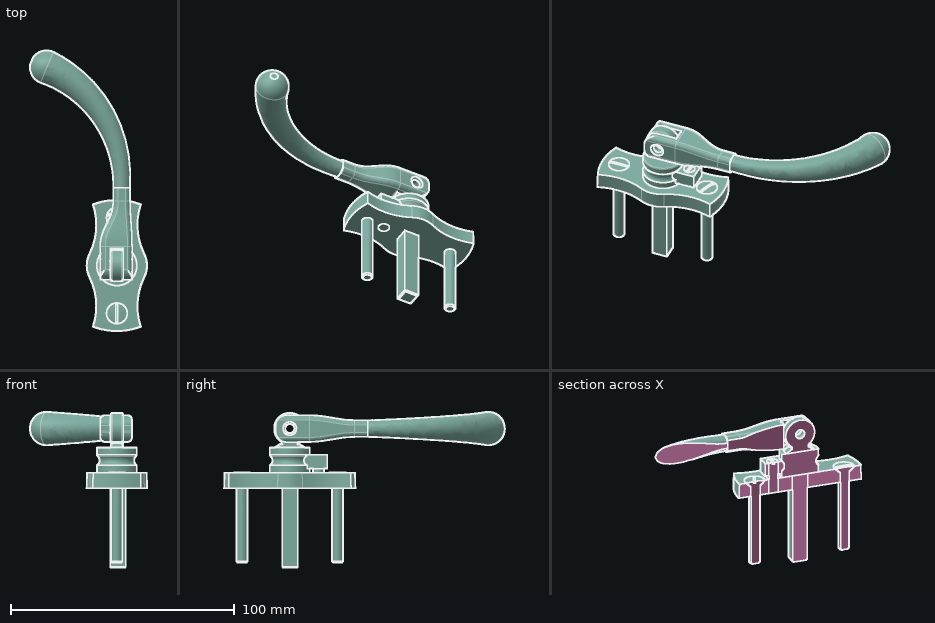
import cadquery as cq
import math


plate_thickness = 7.0
plate_half_length = 29.4
plate_half_width = 13.6
corner_x, corner_y = 10.8, 27.4
waist_x, waist_y = 9.3, 18.0
lobe_x, lobe_y = 12.2, 5.5
plate_draft = 1.5

screw_y = 21.4
screw_head_diameter = 9.3
screw_shank_diameter = 5.0
screw_dome_height = 0.3
screw_reach = 33.3
screw_tip_chamfer = 0.6
slot_width = 0.9
slot_depth = 0.9
front_slot_angle = 90
rear_slot_angle = -20

bar_side = 7.0
bar_x, bar_y = 0.5, 0.1
bar_reach = 35.5
bar_chamfer = 0.5

collar_diameter = 18.0
collar_height = 11.3
groove_bottom_z, groove_middle_z, groove_top_z = 3.3, 5.3, 7.3
groove_root_radius = 7.8
groove_top_radius = 8.5
upper_flange_z = 8.0
collar_top_fillet = 0.4

pivot_z = 19.7
pivot_diameter = 4.0
eye_radius = 7.0
eye_thickness = 5.5
eye_edge_fillet = 0.8
neck_half_width = 3.9
foot_half_width = 6.8
foot_height = 1.8

block_half_width = 4.5
block_rear_y = 16.8
block_bottom_z, block_top_z = 1.8, 8.0
block_screw_y = 12.8
block_screw_diameter = 5.0

fork_left_x, fork_right_x = -7.4, 6.8
fork_height = 12.0
fork_tip_y = -6.3
fork_tip_fillet = 4.6
fork_shoulder_y = 8.7
fork_edge_fillet = 2.1
fork_slot_left_x, fork_slot_right_x = -3.0, eye_thickness / 2
fork_slot_y = 7.7
countersink_depth = 1.0
joint_y = 34.8
joint_size = 7.5
joint_x = 2.1
neck_start_y = 28.9

grip_straight_length = 3.1
grip_bend_radius = 55.2
grip_bend_angle = 66.9
grip_length = grip_straight_length + grip_bend_radius * math.radians(grip_bend_angle)
grip_end_radius = 7.5
grip_swell_power = 1.2
grip_section_count = 9
grip_flat_radius = 1.8


def make_screw(y, slot_angle):
    """Raised countersunk screw; returns the slotted screw and its unslotted blank."""
    head_radius = screw_head_diameter / 2
    shank_radius = screw_shank_diameter / 2
    end_z = -plate_thickness - screw_reach
    profile = (
        cq.Workplane("XZ")
        .moveTo(0, end_z)
        .lineTo(shank_radius - screw_tip_chamfer, end_z)
        .lineTo(shank_radius, end_z + screw_tip_chamfer)
        .lineTo(shank_radius, shank_radius - head_radius)
        .lineTo(head_radius, 0)
        .threePointArc((head_radius / 2, screw_dome_height * 3 / 4), (0, screw_dome_height))
        .close()
    )
    blank = profile.revolve(360, (0, 0), (0, 1))
    slot = driver_slot(screw_head_diameter, screw_dome_height).rotate((0, 0, 0), (0, 0, 1), slot_angle)
    return blank.cut(slot).translate((0, y, 0)), blank.translate((0, y, 0))


def driver_slot(length, top_z):
    """Straight slot along X; it rises past top_z so that it cuts open."""
    floor_z = top_z - slot_depth
    return cq.Workplane("XY").workplane(offset=floor_z).rect(length, slot_width).extrude(2 * slot_depth)


def make_plate():
    """Waisted plate with bowed ends, widening slightly towards its underside."""
    outline = (
        cq.Workplane("XY")
        .moveTo(lobe_x, -lobe_y)
        .threePointArc((plate_half_width, 0), (lobe_x, lobe_y))
        .threePointArc((waist_x, waist_y), (corner_x, corner_y))
        .threePointArc((0, plate_half_length), (-corner_x, corner_y))
        .threePointArc((-waist_x, waist_y), (-lobe_x, lobe_y))
        .threePointArc((-plate_half_width, 0), (-lobe_x, -lobe_y))
        .threePointArc((-waist_x, -waist_y), (-corner_x, -corner_y))
        .threePointArc((0, -plate_half_length), (corner_x, -corner_y))
        .threePointArc((waist_x, -waist_y), (lobe_x, -lobe_y))
        .close()
    )
    return outline.extrude(plate_thickness, taper=plate_draft).translate((0, 0, -plate_thickness))


def make_bar():
    length = plate_thickness + bar_reach
    return (
        cq.Workplane("XY")
        .center(bar_x, bar_y)
        .rect(bar_side, bar_side)
        .extrude(-length)
        .faces("<Z")
        .chamfer(bar_chamfer)
    )


def make_collar():
    collar_radius = collar_diameter / 2
    return (
        cq.Workplane("XZ")
        .lineTo(collar_radius, 0)
        .lineTo(collar_radius, groove_bottom_z)
        .threePointArc((groove_root_radius, groove_middle_z), (groove_top_radius, groove_top_z))
        .lineTo(collar_radius, upper_flange_z)
        .lineTo(collar_radius, collar_height)
        .lineTo(0, collar_height)
        .close()
        .revolve(360, (0, 0), (0, 1))
        .faces(">Z")
        .edges()
        .fillet(collar_top_fillet)
    )


def make_eye():
    """Flat round eye on a neck with a spread foot, drilled for the pivot."""
    neck_top_z = pivot_z - math.sqrt(eye_radius**2 - neck_half_width**2)
    foot_top_z = collar_height + foot_height
    return (
        cq.Workplane("YZ")
        .moveTo(-foot_half_width, collar_height)
        .lineTo(foot_half_width, collar_height)
        .lineTo(neck_half_width, foot_top_z)
        .lineTo(neck_half_width, neck_top_z)
        .threePointArc((0, pivot_z + eye_radius), (-neck_half_width, neck_top_z))
        .lineTo(-neck_half_width, foot_top_z)
        .close()
        .extrude(eye_thickness / 2, both=True)
        .faces("<X or >X")
        .edges("not <Z")
        .fillet(eye_edge_fillet)
        .cut(pivot_hole())
    )


def pivot_hole():
    reach = fork_right_x - fork_left_x
    return cq.Workplane("YZ").center(0, pivot_z).circle(pivot_diameter / 2).extrude(reach, both=True)


def make_block(collar, block_screw):
    """Block whose front end follows the collar groove."""
    blank = cq.Workplane("XY").box(
        2 * block_half_width, block_rear_y, block_top_z - block_bottom_z, centered=(True, False, False)
    )
    block = blank.translate((0, 0, block_bottom_z)).cut(collar).cut(block_screw)
    return block.solids(">Y")


def make_block_screw_blank():
    return (
        cq.Workplane("XY")
        .workplane(offset=-plate_thickness)
        .center(0, block_screw_y)
        .circle(block_screw_diameter / 2)
        .extrude(plate_thickness + block_top_z)
    )


def make_fork():
    """Fork tapering from the slotted pivot end to a small square end at the grip."""
    joint_left_x = joint_x - joint_size / 2
    joint_right_x = joint_x + joint_size / 2
    plan = (
        cq.Workplane("XY", origin=(0, 0, pivot_z - fork_height / 2))
        .moveTo(fork_left_x, fork_tip_y)
        .lineTo(fork_right_x, fork_tip_y)
        .lineTo(fork_right_x, fork_shoulder_y)
        .spline([(joint_right_x, neck_start_y)], tangents=[(0, 1), (0, 1)], includeCurrent=True)
        .lineTo(joint_right_x, joint_y)
        .lineTo(joint_left_x, joint_y)
        .lineTo(joint_left_x, neck_start_y)
        .spline([(fork_left_x, fork_shoulder_y)], tangents=[(0, -1), (0, -1)], includeCurrent=True)
        .close()
        .extrude(fork_height)
    )
    side = (
        cq.Workplane("YZ", origin=(fork_left_x, 0, pivot_z))
        .moveTo(fork_tip_y, -fork_height / 2)
        .lineTo(fork_shoulder_y, -fork_height / 2)
        .spline([(neck_start_y, -joint_size / 2)], tangents=[(1, 0), (1, 0)], includeCurrent=True)
        .lineTo(joint_y, -joint_size / 2)
        .lineTo(joint_y, joint_size / 2)
        .lineTo(neck_start_y, joint_size / 2)
        .spline([(fork_shoulder_y, fork_height / 2)], tangents=[(-1, 0), (-1, 0)], includeCurrent=True)
        .lineTo(fork_tip_y, fork_height / 2)
        .close()
        .extrude(fork_right_x - fork_left_x)
    )
    body = plan.intersect(side)
    body = body.edges("(not <Y) and (not >Y) and (not |X) and (not |Z)").fillet(fork_edge_fillet)
    return body.intersect(rounded_tip_envelope()).cut(fork_slot()).cut(pivot_hole()).cut(pivot_countersinks())


def rounded_tip_envelope():
    """Block as wide and tall as the fork, rounded over at the tip."""
    block = cq.Workplane("XY").box(
        fork_right_x - fork_left_x, joint_y - fork_tip_y, fork_height, centered=(False, False, True)
    )
    return block.translate((fork_left_x, fork_tip_y, pivot_z)).faces("<Y").edges("|X").fillet(fork_tip_fillet)


def fork_slot():
    slot_length = fork_slot_y - fork_tip_y
    slot = cq.Workplane("XY").box(
        fork_slot_right_x - fork_slot_left_x, slot_length, fork_height, centered=(False, False, True)
    )
    return slot.translate((fork_slot_left_x, fork_tip_y, pivot_z))


def pivot_countersinks():
    """45 degree cones that widen the pivot hole at both outer faces of the fork."""
    hole_radius = pivot_diameter / 2
    cones = cq.Workplane("XY")
    for face_x, inward in ((fork_left_x, 1), (fork_right_x, -1)):
        cone = cq.Solid.makeCone(
            hole_radius + countersink_depth,
            hole_radius,
            countersink_depth,
            pnt=cq.Vector(face_x, 0, pivot_z),
            dir=cq.Vector(inward, 0, 0),
        )
        cones = cones.add(cone)
    return cones.combine()


def grip_plane(travel):
    """Plane square to the grip axis, after going this far along its straight start and its bend."""
    straight = min(travel, grip_straight_length)
    turn = (travel - straight) / grip_bend_radius
    return cq.Plane(
        origin=(
            joint_x - grip_bend_radius * (1 - math.cos(turn)),
            joint_y + straight + grip_bend_radius * math.sin(turn),
            pivot_z,
        ),
        xDir=(math.cos(turn), math.sin(turn), 0),
        normal=(-math.sin(turn), math.cos(turn), 0),
    )


def make_grip():
    """Round grip that swells along its bent axis and ends in a dome with a small flat."""
    start_radius = joint_size / 2
    sections = []
    for index in range(grip_section_count):
        fraction = index / (grip_section_count - 1)
        radius = start_radius + (grip_end_radius - start_radius) * fraction**grip_swell_power
        section = cq.Workplane(grip_plane(grip_length * fraction)).circle(radius)
        sections.append(section.wire().val())
    return cq.Workplane("XY").add(cq.Solid.makeLoft(sections)).union(grip_dome())


def grip_dome():
    flat_height = math.sqrt(grip_end_radius**2 - grip_flat_radius**2)
    mid_offset = grip_end_radius * math.sqrt(0.5)
    return (
        cq.Workplane(grip_plane(grip_length))
        .transformed(rotate=(90, 0, 0))
        .lineTo(grip_end_radius, 0)
        .threePointArc((mid_offset, mid_offset), (grip_flat_radius, flat_height))
        .lineTo(0, flat_height)
        .close()
        .revolve(360, (0, 0), (0, 1))
    )


plate = make_plate()
screws = []
for screw_place, slot_angle in ((-screw_y, front_slot_angle), (screw_y, rear_slot_angle)):
    screw, screw_blank = make_screw(screw_place, slot_angle)
    screws.append(screw)
    plate = plate.cut(screw_blank)

bar = make_bar()
block_screw_blank = make_block_screw_blank()
plate = plate.cut(bar).cut(block_screw_blank)

collar = make_collar()
eye = make_eye()
block = make_block(collar, block_screw_blank)
block_screw = block_screw_blank.cut(
    driver_slot(block_screw_diameter, block_top_z).translate((0, block_screw_y, 0))
)
fork = make_fork()
grip = make_grip()

result = cq.Compound.makeCompound(
    [
        plate.val(),
        *[screw.val() for screw in screws],
        bar.val(),
        collar.val(),
        eye.val(),
        block.val(),
        block_screw.val(),
        fork.val(),
        grip.val(),
    ]
)